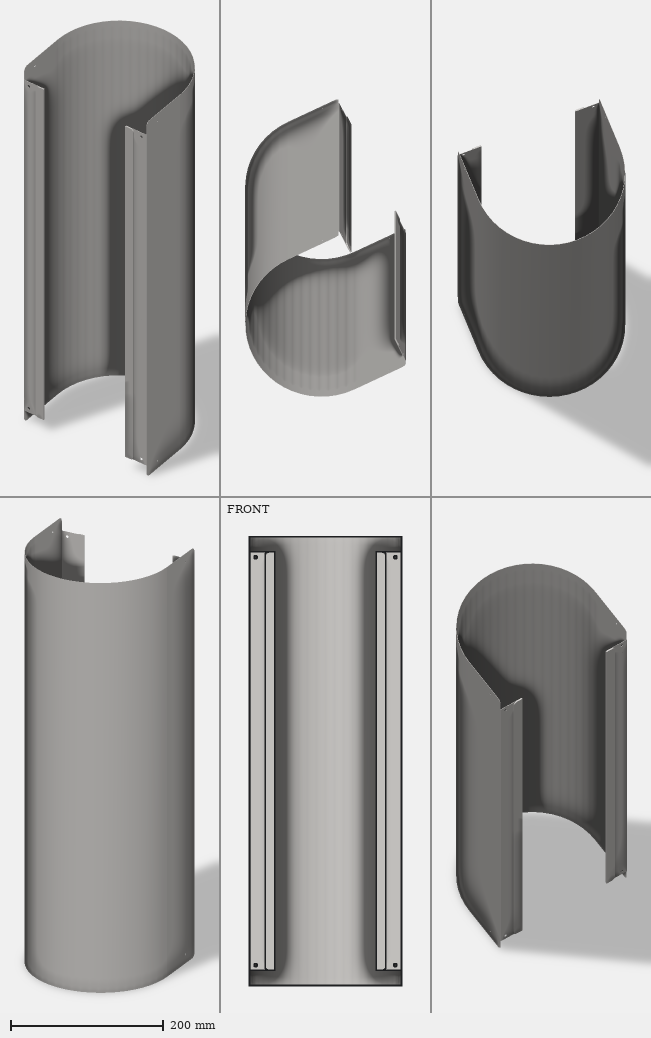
import cadquery as cq
import math

height = 590.0
outer_radius = 100.0
overall_depth = 176.5
sheet = 0.5
leg_corner_radius = 6.0

flange_end_gap = 20.0
flange_reach = 33.5
bend_inner_radius = 0.5

strip_width = 13.0
strip_thickness = 1.5
strip_corner_radius = 5.0

flange_hole_diameter = 4.0
flange_hole_from_side = 8.2
flange_hole_from_end = 27.0
leg_hole_diameter = 2.5
leg_hole_from_end = 12.5
leg_hole_from_front = 26.0

inner_radius = outer_radius - sheet
flange_height = height - 2 * flange_end_gap
bend_outer_radius = bend_inner_radius + sheet
strip_front_y = outer_radius - overall_depth
flange_front_y = strip_front_y + strip_thickness
flange_back_y = flange_front_y + sheet
leg_end_y = flange_front_y + bend_outer_radius


def make_shell():
    """Half cylinder with two straight legs whose front corners are rounded."""
    profile = (
        cq.Workplane("XY")
        .moveTo(-outer_radius, leg_end_y)
        .lineTo(-outer_radius, 0)
        .threePointArc((0, outer_radius), (outer_radius, 0))
        .lineTo(outer_radius, leg_end_y)
        .lineTo(inner_radius, leg_end_y)
        .lineTo(inner_radius, 0)
        .threePointArc((0, inner_radius), (-inner_radius, 0))
        .lineTo(-inner_radius, leg_end_y)
        .close()
    )
    shell = profile.extrude(height / 2, both=True)
    return shell.edges("|X").edges("<Y").fillet(leg_corner_radius)


def make_left_flange():
    """Left flange with its bend out of the leg and the strip on its front face."""
    bend_x = -outer_radius + bend_outer_radius
    free_edge_x = -outer_radius + flange_reach
    diagonal = math.sqrt(0.5)
    outer_offset = bend_outer_radius * diagonal
    inner_offset = bend_inner_radius * diagonal
    profile = (
        cq.Workplane("XY")
        .moveTo(-outer_radius, leg_end_y)
        .threePointArc((bend_x - outer_offset, leg_end_y - outer_offset), (bend_x, flange_front_y))
        .lineTo(free_edge_x, flange_front_y)
        .lineTo(free_edge_x, flange_back_y)
        .lineTo(bend_x, flange_back_y)
        .threePointArc((bend_x - inner_offset, leg_end_y - inner_offset), (-inner_radius, leg_end_y))
        .close()
    )
    flange = profile.extrude(flange_height / 2, both=True)
    strip_centre = (free_edge_x - strip_width / 2, strip_front_y + strip_thickness / 2, 0)
    strip = (
        cq.Workplane("XY")
        .box(strip_width, strip_thickness, flange_height)
        .edges("|Y and <X")
        .fillet(strip_corner_radius)
        .translate(strip_centre)
    )
    return flange.union(strip)


def flange_holes():
    """Holes through both flanges, near each end."""
    hole_x = outer_radius - flange_hole_from_side
    hole_z = height / 2 - flange_hole_from_end
    return (
        cq.Workplane("XZ", origin=(0, flange_front_y, 0))
        .rect(2 * hole_x, 2 * hole_z, forConstruction=True)
        .vertices()
        .circle(flange_hole_diameter / 2)
        .extrude(2 * sheet, both=True)
    )


def leg_holes():
    """Holes straight through both legs, near each end."""
    hole_y = strip_front_y + leg_hole_from_front
    hole_z = height / 2 - leg_hole_from_end
    return (
        cq.Workplane("YZ")
        .pushPoints([(hole_y, hole_z), (hole_y, -hole_z)])
        .circle(leg_hole_diameter / 2)
        .extrude(outer_radius + sheet, both=True)
    )


left_flange = make_left_flange()
right_flange = left_flange.mirror("YZ")
body = make_shell().union(left_flange).union(right_flange)
result = body.cut(flange_holes()).cut(leg_holes())